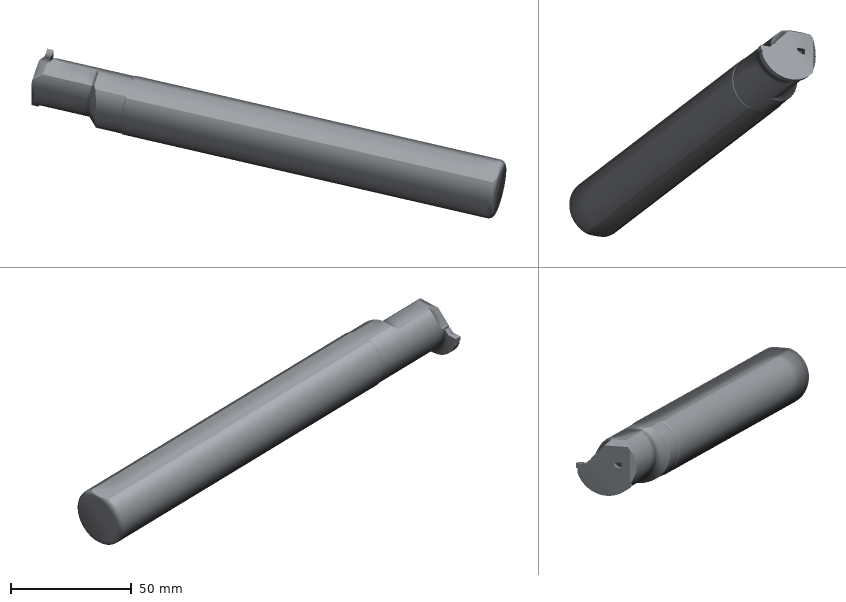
import cadquery as cq
import math

length = 200.0
shank_radius = 12.5
shank_flat = 11.5
shank_start = 40.5
end_round = 2.5

collar_radius = 12.2
collar_edge = shank_radius - collar_radius

neck_end = 25.0
neck_radius = 12.5
neck_offset = 5.0
neck_flat = 10.5
flare = 8.0
top_bevel_length = 3.8
top_bevel_drop = 2.0
side_bevel_length = 2.0
side_bevel_y = -5.2
neck_side_y = neck_offset - neck_radius

blade_width = 2.8
fin_radius = 13.8
fin_bottom = -12.9
fin_center_z = fin_bottom + fin_radius

tip_y = 18.5
tip_top = 0.0
tip_face = 2.0
tip_relief = 0.5
tip_land_end = 14.5
seat_y = -1.5
seat_top = 1.5
seat_bottom_inner = -2.9
seat_bottom_outer = -4.1
notch_width = 3.5
notch_depth = 2.5

pocket_length = 4.0
pocket_runout = 1.5
pocket_inner_y = 6.5
pocket_inner_z = 8.0
pocket_outer_y = tip_land_end
pocket_outer_z = tip_top
margin = 20.0


def rod(start, end, radius, y=0.0, z=0.0):
    """Cylinder parallel to X."""
    return cq.Workplane("YZ", origin=(start, y, z)).circle(radius).extrude(end - start)


def side_profile(points):
    """Prism across the whole width from an outline in X and Z."""
    return cq.Workplane("XZ").polyline(points).close().extrude(2 * margin, both=True)


def cross_section(points, start, end):
    """Prism along X from an outline in Y and Z."""
    return cq.Workplane("YZ", origin=(start, 0, 0)).polyline(points).close().extrude(end - start)


def make_shank():
    shank = rod(shank_start - collar_edge, length, shank_radius)
    shank = shank.faces("<X").chamfer(collar_edge)
    shank = shank.faces(">X").edges().fillet(end_round)
    bottom_cut = cq.Workplane("XY").box(
        length, 2 * margin, margin, centered=(False, True, False)
    ).translate((shank_start - collar_edge, 0, -shank_flat - margin))
    return shank.cut(bottom_cut)


def make_relief_envelope():
    """Offset round neck, widening at 45 degrees into the collar."""
    return (
        cq.Workplane("XY")
        .polyline([
            (0, 0),
            (0, neck_radius),
            (neck_end, neck_radius),
            (neck_end + flare, neck_radius + flare),
            (shank_start, neck_radius + flare),
            (shank_start, 0),
        ])
        .close()
        .revolve(360, (0, 0, 0), (1, 0, 0))
        .translate((0, neck_offset, 0))
    )


def make_top_cut():
    """Everything above the front bevel, the neck flat and the shank flat."""
    return side_profile([
        (0, neck_flat - top_bevel_drop),
        (top_bevel_length, neck_flat),
        (neck_end, neck_flat),
        (neck_end + shank_flat - neck_flat, shank_flat),
        (length, shank_flat),
        (length, margin),
        (0, margin),
    ])


def make_side_bevel():
    return (
        cq.Workplane("XY")
        .polyline([(0, side_bevel_y), (side_bevel_length, neck_side_y), (0, neck_side_y)])
        .close()
        .extrude(margin, both=True)
    )


def make_chip_pocket():
    """Sloping cut above the cutting edge, with a slanted wall at its rear."""
    slope = (pocket_outer_z - pocket_inner_z) / (pocket_outer_y - pocket_inner_y)
    top_y = pocket_inner_y + (margin - pocket_inner_z) / slope
    bottom_y = tip_y + margin
    bottom_z = pocket_outer_z + slope * (bottom_y - pocket_outer_y)
    pocket = cross_section(
        [(top_y, margin), (bottom_y, bottom_z), (bottom_y, margin)],
        0,
        pocket_length + pocket_runout,
    )
    angle = math.degrees(math.atan(slope))
    floor_plane = cq.Plane(
        origin=(0, pocket_inner_y, pocket_inner_z),
        xDir=(1, 0, 0),
        normal=(0, -math.cos(math.radians(angle)), -math.sin(math.radians(angle))),
    )
    wall_limit = (
        cq.Workplane(floor_plane)
        .polyline([
            (0, 0),
            (pocket_length, 0),
            (pocket_length + pocket_runout, pocket_runout),
            (pocket_length + pocket_runout, margin),
            (0, margin),
        ])
        .close()
        .extrude(2 * margin, both=True)
    )
    return pocket.intersect(wall_limit)


def make_fin():
    """Rounded blade supporting the insert from below."""
    fin = rod(0, blade_width, fin_radius, neck_offset, fin_center_z)
    keep = cross_section(
        [
            (side_bevel_y, seat_bottom_inner),
            (margin, seat_bottom_outer),
            (margin, -margin),
            (side_bevel_y, -margin),
        ],
        0,
        blade_width,
    )
    return fin.intersect(keep)


def make_seat():
    """Slot for the insert, open toward +Y and the front face."""
    return cross_section(
        [
            (seat_y, seat_bottom_inner),
            (tip_y, seat_bottom_outer),
            (tip_y, seat_top),
            (seat_y, seat_top),
        ],
        0,
        blade_width,
    )


def make_holder():
    front = rod(0, shank_start, collar_radius).intersect(make_relief_envelope())
    holder = front.union(make_shank()).cut(make_top_cut()).cut(make_side_bevel())
    return holder.cut(make_chip_pocket()).union(make_fin()).cut(make_seat())


def make_insert():
    """Grooving blade with a flat land behind its cutting edge and a notched inner end."""
    slope_y = pocket_outer_y - pocket_inner_y
    slope_z = pocket_inner_z - pocket_outer_z
    shoulder_y = pocket_outer_y - (seat_top - pocket_outer_z) * slope_y / slope_z
    notch_z = seat_top - notch_depth
    outer_y = tip_y - tip_relief
    seat_slope = (seat_bottom_outer - seat_bottom_inner) / (tip_y - seat_y)
    outer_z = seat_bottom_outer - seat_slope * tip_relief
    bend = math.sqrt(0.5)
    return (
        cq.Workplane("YZ")
        .moveTo(seat_y, seat_bottom_inner)
        .lineTo(outer_y, outer_z)
        .lineTo(outer_y, tip_top - tip_face)
        .lineTo(tip_y, tip_top - tip_face)
        .lineTo(tip_y, tip_top)
        .lineTo(tip_land_end, tip_top)
        .lineTo(shoulder_y, seat_top)
        .lineTo(seat_y + notch_width, seat_top)
        .threePointArc(
            (seat_y + notch_width - notch_depth * (1 - bend), seat_top - notch_depth * bend),
            (seat_y + notch_width - notch_depth, notch_z),
        )
        .lineTo(seat_y, notch_z)
        .close()
        .extrude(blade_width)
    )


holder = make_holder()
insert = make_insert()
result = cq.Compound.makeCompound([holder.solids().val(), insert.val()])